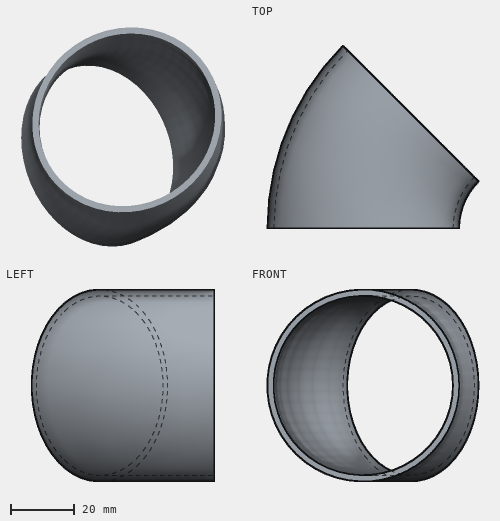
import cadquery as cq

outer_diameter = 60.3
wall_thickness = 2.0
bend_radius = 51.0
bend_angle = 45.0

inner_diameter = outer_diameter - 2 * wall_thickness


def bent_tube():
    """Ring in the XZ plane, centred on the origin, swung toward +Y about a Z-parallel axis."""
    ring = cq.Workplane("XZ").circle(outer_diameter / 2).circle(inner_diameter / 2)
    axis_start = (bend_radius, 0)
    axis_end = (bend_radius, -1)
    return ring.revolve(bend_angle, axis_start, axis_end)


result = bent_tube()